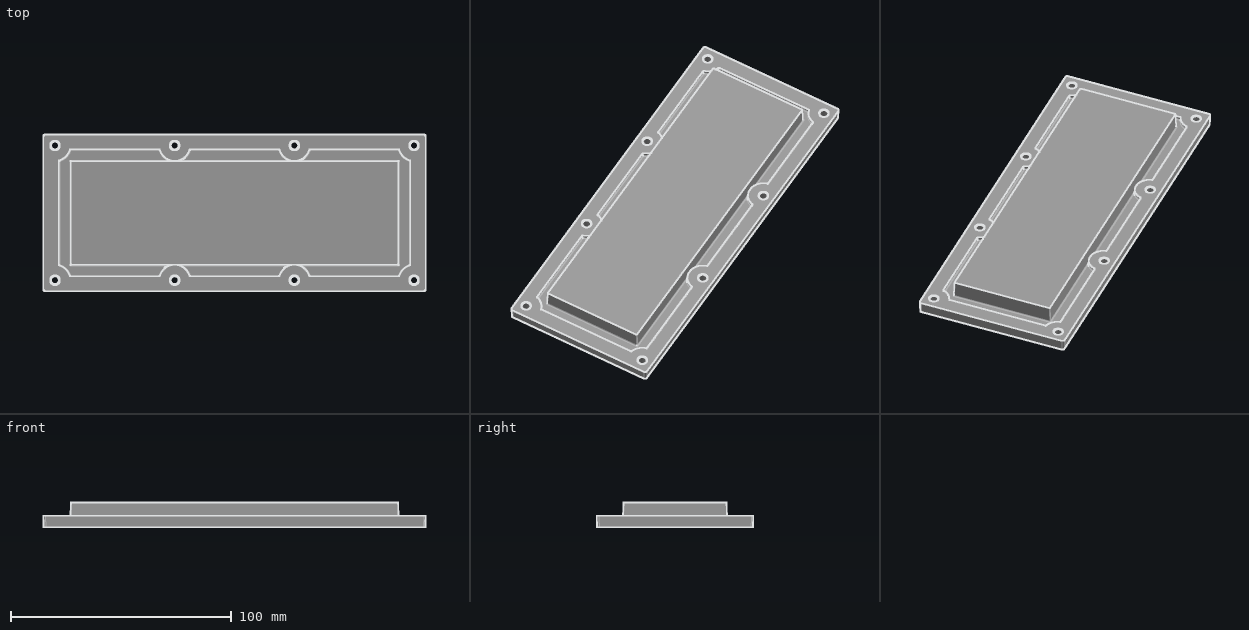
import cadquery as cq
import math

draft_angle = 2.0

plate_length = 173.0
plate_width = 70.7
plate_thickness = 5.4
plate_corner_radius = 1.0

groove_length = 159.0
groove_width = 57.5
groove_depth = 1.6

pad_length = 148.8
pad_width = 47.3
pad_height = 6.0
pad_corner_radius = 0.2

hole_diameter = 3.5
hole_chamfer = 0.3
hole_chamfer_angle = 45.0
holes_per_row = 4
hole_row_length = 162.6
hole_row_spacing = 61.0

land_radius = 7.0

floor_round = 0.3

groove_floor = plate_thickness - groove_depth
hole_pitch = hole_row_length / (holes_per_row - 1)
hole_centers = [
    (column * hole_pitch - hole_row_length / 2, side * hole_row_spacing / 2)
    for column in range(holes_per_row)
    for side in (-1, 1)
]

level_margin = 0.01
floor_level = cq.selectors.BoxSelector(
    (-plate_length, -plate_width, groove_floor - level_margin),
    (plate_length, plate_width, groove_floor + level_margin),
)


def draft_shift(height):
    """Sideways travel of a drafted wall over a given height."""
    return height * math.tan(math.radians(draft_angle))


def drafted_block(length, width, bottom, height, growth):
    """Rectangular block whose four sides each move outward by growth from bottom to top."""
    return (
        cq.Workplane("XY", origin=(0, 0, bottom))
        .rect(length, width)
        .workplane(offset=height)
        .rect(length + 2 * growth, width + 2 * growth)
        .loft(ruled=True)
    )


def make_plate():
    growth = draft_shift(plate_thickness)
    plate = drafted_block(plate_length, plate_width, 0, plate_thickness, growth)
    return plate.edges("not(#Z)").fillet(plate_corner_radius)


def make_recess():
    """Full rectangular recess, before the pad and the lands are put back into it."""
    growth = draft_shift(groove_depth)
    return drafted_block(groove_length, groove_width, groove_floor, groove_depth, growth)


def make_lands():
    """Drafted round lands around the screws, each flaring into the groove floor."""
    foot_radius = land_radius + draft_shift(groove_depth)
    column = (
        cq.Workplane("XY", origin=(0, 0, groove_floor))
        .circle(foot_radius)
        .extrude(groove_depth, taper=draft_angle)
    )
    base = (
        cq.Workplane("XY")
        .circle(foot_radius + 2 * floor_round)
        .extrude(groove_floor)
    )
    floor_circles = base.union(column).edges(floor_level).edges("%CIRCLE")
    foot_edge = floor_circles.edges(cq.selectors.RadiusNthSelector(0))
    land = foot_edge.fillet(floor_round)
    lands = cq.Workplane("XY")
    for x, y in hole_centers:
        lands = lands.union(land.translate((x, y, 0)))
    return lands.intersect(make_recess())


def make_pad():
    """Pad standing on the groove floor and rising above the plate top."""
    rise = groove_depth + pad_height
    pad = drafted_block(pad_length, pad_width, groove_floor, rise, -draft_shift(rise))
    return pad.edges("not(#Z)").fillet(pad_corner_radius)


def make_holes():
    return (
        cq.Workplane("XY")
        .pushPoints(hole_centers)
        .circle(hole_diameter / 2)
        .extrude(plate_thickness, taper=-draft_angle)
    )


def make_hole_chamfers():
    """Cones that break the upper rims of the screw holes."""
    rim_radius = hole_diameter / 2 + draft_shift(plate_thickness)
    return (
        cq.Workplane("XY", origin=(0, 0, plate_thickness - hole_chamfer))
        .pushPoints(hole_centers)
        .circle(rim_radius)
        .extrude(hole_chamfer, taper=-hole_chamfer_angle)
    )


body = make_plate().cut(make_recess()).union(make_pad())
body = body.edges(floor_level).fillet(floor_round).union(make_lands())
result = body.cut(make_holes()).cut(make_hole_chamfers())